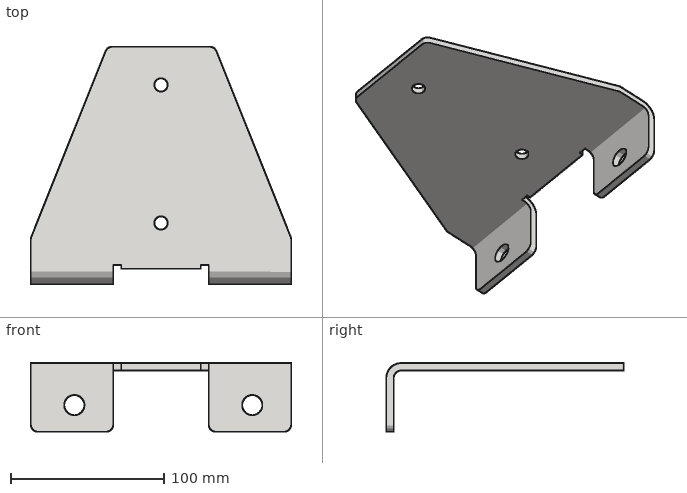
import cadquery as cq
import math

width = 170.0
depth = 155.0
height = 45.0

thickness = 5.0
bend_inner_radius = 5.0
bend_outer_radius = bend_inner_radius + thickness

rear_width = 70.0
straight_side_end = 30.0
rear_corner_radius = 5.0
side_corner_radius = 5.0

gap_between_tabs = 62.0
tab_width = (width - gap_between_tabs) / 2
tab_corner_radius = 5.0

notch_width = 5.0
notch_depth = 2.5

plate_hole_diameter = 8.5
plate_hole_positions = [(0, 40.0), (0, 130.0)]
tab_hole_diameter = 13.0
tab_hole_offset = 1.5
tab_hole_height = 17.5


def make_plate():
    """Flat tapered plate, from the bend line to the rear edge."""
    plate = (
        cq.Workplane("XY", origin=(0, 0, height - thickness))
        .polyline([
            (-width / 2, bend_outer_radius),
            (width / 2, bend_outer_radius),
            (width / 2, straight_side_end),
            (rear_width / 2, depth),
            (-rear_width / 2, depth),
            (-width / 2, straight_side_end),
        ])
        .close()
        .extrude(thickness)
    )
    plate = plate.edges("|Z").edges(">Y").fillet(rear_corner_radius)
    selection_margin = 1.0
    side_corners = cq.selectors.BoxSelector(
        (-width, straight_side_end - selection_margin, 0),
        (width, straight_side_end + selection_margin, height),
    )
    return plate.edges("|Z").edges(side_corners).fillet(side_corner_radius)


def tab_center_x(side):
    """X of a tab's centre line; side is -1 for left, +1 for right."""
    return side * (width - tab_width) / 2


def make_tab(side):
    """Quarter-round bend and the flat tab hanging from it."""
    bend_center_z = height - bend_outer_radius
    diagonal = math.sqrt(0.5)
    tab = (
        cq.Workplane("YZ", origin=(tab_center_x(side) - tab_width / 2, 0, 0))
        .moveTo(0, 0)
        .lineTo(0, bend_center_z)
        .threePointArc(
            (bend_outer_radius * (1 - diagonal), bend_center_z + bend_outer_radius * diagonal),
            (bend_outer_radius, height),
        )
        .lineTo(bend_outer_radius, height - thickness)
        .threePointArc(
            (
                bend_outer_radius - bend_inner_radius * diagonal,
                bend_center_z + bend_inner_radius * diagonal,
            ),
            (thickness, bend_center_z),
        )
        .lineTo(thickness, 0)
        .close()
        .extrude(tab_width)
    )
    return tab.edges("|Y").edges("<Z").fillet(tab_corner_radius)


def make_notch(side):
    """Relief cut into the plate edge next to the inner end of a bend."""
    notch_center_x = side * (gap_between_tabs - notch_width) / 2
    return (
        cq.Workplane("XY")
        .center(notch_center_x, bend_outer_radius + notch_depth / 2)
        .rect(notch_width, notch_depth)
        .extrude(height)
    )


def make_plate_holes():
    """Holes through the plate on its centre line."""
    return (
        cq.Workplane("XY")
        .pushPoints(plate_hole_positions)
        .circle(plate_hole_diameter / 2)
        .extrude(height)
    )


def make_tab_hole(side):
    """Hole through the flat of a tab."""
    return (
        cq.Workplane("XZ")
        .center(tab_center_x(side) + tab_hole_offset, tab_hole_height)
        .circle(tab_hole_diameter / 2)
        .extrude(-thickness)
    )


result = make_plate().cut(make_plate_holes())
for side in (-1, 1):
    result = result.union(make_tab(side))
    result = result.cut(make_notch(side))
    result = result.cut(make_tab_hole(side))